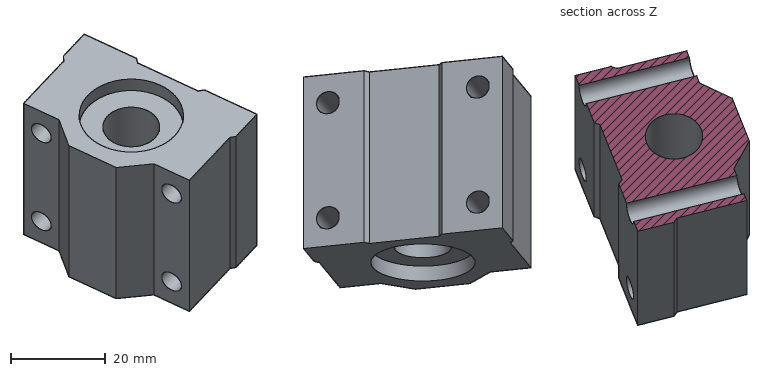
import cadquery as cq

width = 43.75
depth = 29.85
height = 38.75

body_width = 42.0
flange_depth = 8.0
flange_chamfer_depth = 1.0
ledge_depth = 24.5
nose_base_width = 24.0
nose_tip_width = 12.0

relief_width = 17.15
relief_floor_width = 15.3
relief_depth = 1.0

bore_diameter = 12.0
seat_diameter = 22.0
seat_recess = 3.35
bore_distance = 15.0

hole_diameter = 5.0
hole_spacing_x = 33.0
hole_spacing_z = 26.0

back_y = bore_distance
top_z = height / 2


def block():
    """Extrude the bearing block profile, mirrored about the YZ plane."""
    half_profile = [
        (0, back_y - relief_depth),
        (relief_floor_width / 2, back_y - relief_depth),
        (relief_width / 2, back_y),
        (width / 2, back_y),
        (width / 2, back_y - flange_depth),
        (body_width / 2, back_y - flange_depth - flange_chamfer_depth),
        (body_width / 2, back_y - ledge_depth),
        (nose_base_width / 2, back_y - ledge_depth),
        (nose_tip_width / 2, back_y - depth),
        (0, back_y - depth),
    ]
    return (
        cq.Workplane("XY", origin=(0, 0, -top_z))
        .polyline(half_profile)
        .mirrorY()
        .extrude(height)
    )


def shaft_bore():
    """Through bore with a shallow round recess at each end."""
    bore = cq.Workplane("XY").circle(bore_diameter / 2).extrude(top_z, both=True)
    for recess_bottom in (-top_z, top_z - seat_recess):
        recess = (
            cq.Workplane("XY", origin=(0, 0, recess_bottom))
            .circle(seat_diameter / 2)
            .extrude(seat_recess)
        )
        bore = bore.union(recess)
    return bore


def mounting_holes():
    """Four holes running from the screw ledges through to the back face."""
    return (
        cq.Workplane("XZ", origin=(0, back_y, 0))
        .rarray(hole_spacing_x, hole_spacing_z, 2, 2)
        .circle(hole_diameter / 2)
        .extrude(ledge_depth)
    )


result = block().cut(shaft_bore()).cut(mounting_holes())